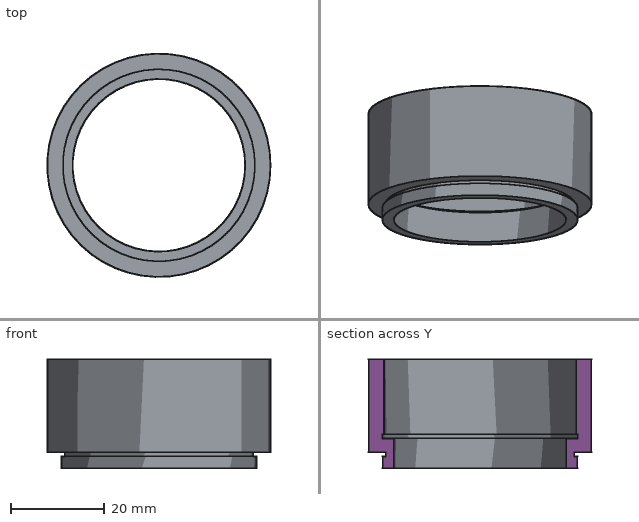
import cadquery as cq

body_diameter = 48.0
flange_diameter = 42.0
neck_diameter = 40.6
upper_bore_diameter = 41.25
relief_diameter = 42.0
lower_bore_diameter = 37.0

flange_height = 2.6
neck_height = 0.85
body_height = 20.0
bore_depth = 17.0
relief_height = 0.85

neck_top_z = flange_height + neck_height
total_height = neck_top_z + body_height
shelf_z = total_height - bore_depth


def disc(diameter, bottom_z, height):
    """Solid cylinder on the Z axis, standing on the level bottom_z."""
    return cq.Workplane("XY").workplane(offset=bottom_z).circle(diameter / 2).extrude(height)


def outer_form():
    """Flange, narrow neck and wide body stacked on one axis."""
    flange = disc(flange_diameter, 0, flange_height)
    neck = disc(neck_diameter, flange_height, neck_height)
    body = disc(body_diameter, neck_top_z, body_height)
    return flange.union(neck).union(body)


def stepped_bore():
    """Through bore, wider above the shelf, with an undercut at the shelf corner."""
    lower_bore = disc(lower_bore_diameter, 0, total_height)
    upper_bore = disc(upper_bore_diameter, shelf_z, bore_depth)
    relief = disc(relief_diameter, shelf_z, relief_height)
    return lower_bore.union(upper_bore).union(relief)


result = outer_form().cut(stepped_bore())